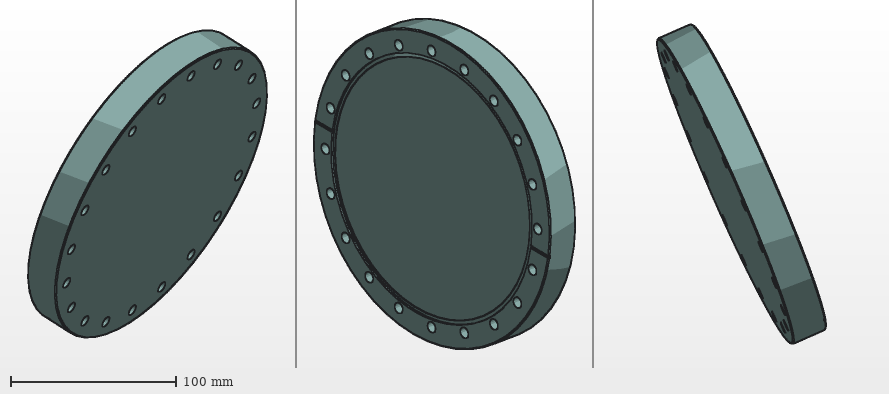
import cadquery as cq
import math

flange_diameter = 202.44
flange_thickness = 22.35
edge_chamfer = 0.75

recess_diameter = 171.4
knife_diameter = 166.4
knife_tip_depth = 0.7
knife_slope_angle = 20.0
knife_inner_width = 0.3
center_floor_depth = 0.9

bolt_count = 20
bolt_circle_diameter = 181.0
bolt_hole_diameter = 6.85

groove_width = 1.6
groove_depth = 1.2
groove_angle = 180.0 / bolt_count
groove_overrun = 0.5


def make_flange_body():
    """Revolve the half section, drawn as (x, radius), around the X axis."""
    outer_radius = flange_diameter / 2
    recess_radius = recess_diameter / 2
    knife_radius = knife_diameter / 2
    slope_drop = (recess_radius - knife_radius) * math.tan(math.radians(knife_slope_angle))
    recess_depth = knife_tip_depth + slope_drop
    floor_radius = knife_radius - knife_inner_width
    return (
        cq.Workplane("XZ")
        .moveTo(center_floor_depth, 0)
        .lineTo(center_floor_depth, floor_radius)
        .lineTo(knife_tip_depth, knife_radius)
        .lineTo(recess_depth, recess_radius)
        .lineTo(0, recess_radius)
        .lineTo(0, outer_radius - edge_chamfer)
        .lineTo(edge_chamfer, outer_radius)
        .lineTo(flange_thickness - edge_chamfer, outer_radius)
        .lineTo(flange_thickness, outer_radius - edge_chamfer)
        .lineTo(flange_thickness, 0)
        .close()
        .revolve(360, (0, 0, 0), (1, 0, 0))
    )


def make_bolt_holes():
    """Cylinders for all bolt holes, running through the full thickness."""
    return (
        cq.Workplane("YZ")
        .polarArray(bolt_circle_diameter / 2, 90, 360, bolt_count)
        .circle(bolt_hole_diameter / 2)
        .extrude(flange_thickness)
    )


def make_leak_groove(angle):
    """Bar cutting a groove from the recess to the rim, at an angle from +Y towards +Z."""
    inner_radius = recess_diameter / 2 - groove_overrun
    outer_radius = flange_diameter / 2 + groove_overrun
    return (
        cq.Workplane("XY")
        .box(groove_depth, outer_radius - inner_radius, groove_width, centered=(False, False, True))
        .translate((0, inner_radius, 0))
        .rotate((0, 0, 0), (1, 0, 0), angle)
    )


result = make_flange_body().cut(make_bolt_holes())
for half_turn in (0, 180):
    result = result.cut(make_leak_groove(groove_angle + half_turn))